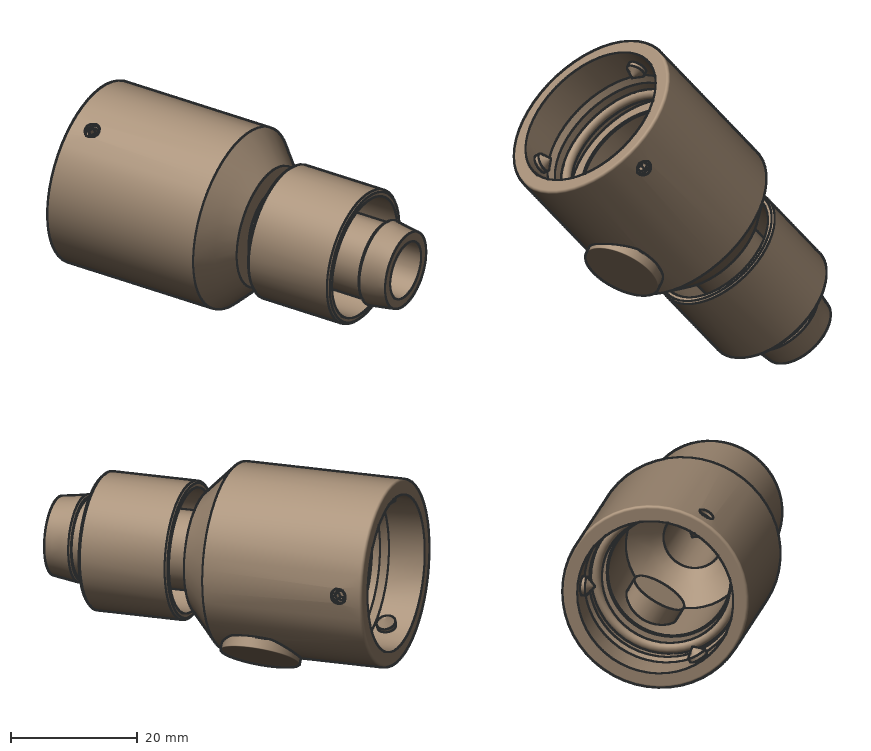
import cadquery as cq
import math


HOUSING_DIA = 30.0
BARREL_LENGTH = 26.95
NECK_X = 32.0
NECK_DIA = 20.0
MOUTH_FILLET = 0.45

TOTAL_LENGTH = 57.0
STEM_DIA = 12.7
BARB_X = 52.3
BARB_DIA = 14.0
BARB_BEVEL = 0.35

MOUTH_DIA = 25.0
MOUTH_DEPTH = 6.05
SEAT_DIA = 24.0
TAPER_LENGTH = 1.3
SEAT_X = 11.75
CAVITY_DIA = 19.65
CAVITY_BEVEL = 0.15
CAVITY_X = 26.95
BORE_DIA = 9.5
BORE_X = CAVITY_X + (CAVITY_DIA - BORE_DIA) / 2

SEAL_CENTRE_DIA = 22.35
SEAL_RADIUS = 0.85
SEAL_X = 9.3

SCREW_COUNT = 3
SCREW_X = 4.0
SCREW_DIA = 3.0
SCREW_HOLE_DIA = 2.45
SCREW_TIP_RADIUS = 10.4
SCREW_POINT_LENGTH = 1.35
SCREW_HEAD_RADIUS = 14.25
SOCKET_WIDTH = 1.5
SOCKET_DEPTH = 1.5

BUTTON_X = 19.9
BUTTON_ANGLE = -60.0
BUTTON_HEAD_DIA = 12.7
BUTTON_STEM_DIA = 9.0
BUTTON_TOP_RADIUS = 15.85
BUTTON_UNDERSIDE_RADIUS = 13.95
BUTTON_INNER_RADIUS = 6.2
BUTTON_FILLET = 0.1

SLEEVE_X = 34.5
SLEEVE_LENGTH = 15.0
SLEEVE_DIA = 22.1
SLEEVE_BORE_DIA = 20.0
SLEEVE_CHAMFER = 0.35


def revolve_about_x(profile):
    return profile.close().revolve(360, (0, 0, 0), (1, 0, 0))


def radial_plane(x, angle, radius):
    """Plane at a distance from the X axis, facing outwards at an angle from +Y towards +Z."""
    y_part = math.cos(math.radians(angle))
    z_part = math.sin(math.radians(angle))
    return cq.Plane(
        origin=(x, radius * y_part, radius * z_part), xDir=(1, 0, 0), normal=(0, y_part, z_part)
    )


def make_shell():
    exterior = revolve_about_x(
        cq.Workplane("XY")
        .lineTo(0, HOUSING_DIA / 2)
        .lineTo(BARREL_LENGTH, HOUSING_DIA / 2)
        .lineTo(NECK_X, NECK_DIA / 2)
        .lineTo(NECK_X, STEM_DIA / 2)
        .lineTo(BARB_X, STEM_DIA / 2)
        .lineTo(BARB_X, BARB_DIA / 2 - BARB_BEVEL)
        .lineTo(BARB_X + BARB_BEVEL, BARB_DIA / 2)
        .lineTo(TOTAL_LENGTH, STEM_DIA / 2)
        .lineTo(TOTAL_LENGTH, 0)
    ).faces("<X").edges().fillet(MOUTH_FILLET)
    interior = revolve_about_x(
        cq.Workplane("XY")
        .lineTo(0, MOUTH_DIA / 2)
        .lineTo(MOUTH_DEPTH, MOUTH_DIA / 2)
        .lineTo(MOUTH_DEPTH + TAPER_LENGTH, SEAT_DIA / 2)
        .lineTo(SEAT_X, SEAT_DIA / 2)
        .lineTo(SEAT_X, CAVITY_DIA / 2 + CAVITY_BEVEL)
        .lineTo(SEAT_X + CAVITY_BEVEL, CAVITY_DIA / 2)
        .lineTo(CAVITY_X, CAVITY_DIA / 2)
        .lineTo(BORE_X, BORE_DIA / 2)
        .lineTo(TOTAL_LENGTH, BORE_DIA / 2)
        .lineTo(TOTAL_LENGTH, 0)
    )
    return exterior.cut(interior)


def make_seal_ring():
    section = cq.Workplane("XY").center(SEAL_X, SEAL_CENTRE_DIA / 2).circle(SEAL_RADIUS)
    return section.revolve(360, (0, -SEAL_CENTRE_DIA / 2, 0), (1, -SEAL_CENTRE_DIA / 2, 0))


def make_screw(angle):
    length = SCREW_HEAD_RADIUS - SCREW_TIP_RADIUS
    screw = (
        cq.Workplane("XZ")
        .lineTo(SCREW_DIA / 2, SCREW_POINT_LENGTH)
        .lineTo(SCREW_DIA / 2, length)
        .lineTo(0, length)
        .close()
        .revolve(360, (0, 0, 0), (0, 1, 0))
    )
    tip_plane = radial_plane(SCREW_X, angle, SCREW_TIP_RADIUS)
    return cq.Workplane(screw.val().moved(tip_plane.location))


def make_screw_opening(angle):
    """Clear hole above the screw together with the hexagonal socket in its end."""
    head_plane = radial_plane(SCREW_X, angle, SCREW_HEAD_RADIUS)
    hole = cq.Workplane(head_plane).circle(SCREW_HOLE_DIA / 2).extrude(HOUSING_DIA / 2)
    socket_corner_dia = SOCKET_WIDTH / math.cos(math.pi / 6)
    socket = cq.Workplane(head_plane).polygon(6, socket_corner_dia).extrude(-SOCKET_DEPTH)
    return hole.union(socket)


def make_button():
    head_plane = radial_plane(BUTTON_X, BUTTON_ANGLE, BUTTON_UNDERSIDE_RADIUS)
    stem_plane = radial_plane(BUTTON_X, BUTTON_ANGLE, BUTTON_INNER_RADIUS)
    head_height = BUTTON_TOP_RADIUS - BUTTON_UNDERSIDE_RADIUS
    stem_height = BUTTON_UNDERSIDE_RADIUS - BUTTON_INNER_RADIUS
    head = cq.Workplane(head_plane).circle(BUTTON_HEAD_DIA / 2).extrude(head_height)
    head = head.edges().fillet(BUTTON_FILLET)
    stem = cq.Workplane(stem_plane).circle(BUTTON_STEM_DIA / 2).extrude(stem_height)
    return head.union(stem)


def make_housing():
    housing = make_shell().union(make_seal_ring()).union(make_button())
    for index in range(SCREW_COUNT):
        angle = index * 360 / SCREW_COUNT
        housing = housing.union(make_screw(angle)).cut(make_screw_opening(angle))
    return housing


def make_sleeve():
    blank = cq.Workplane("YZ", origin=(SLEEVE_X, 0, 0)).circle(SLEEVE_DIA / 2).extrude(SLEEVE_LENGTH)
    blank = blank.edges().chamfer(SLEEVE_CHAMFER)
    bore = cq.Workplane("YZ", origin=(SLEEVE_X, 0, 0)).circle(SLEEVE_BORE_DIA / 2).extrude(SLEEVE_LENGTH)
    return blank.cut(bore)


housing = make_housing()
sleeve = make_sleeve()

result = cq.Compound.makeCompound([housing.val(), sleeve.val()])